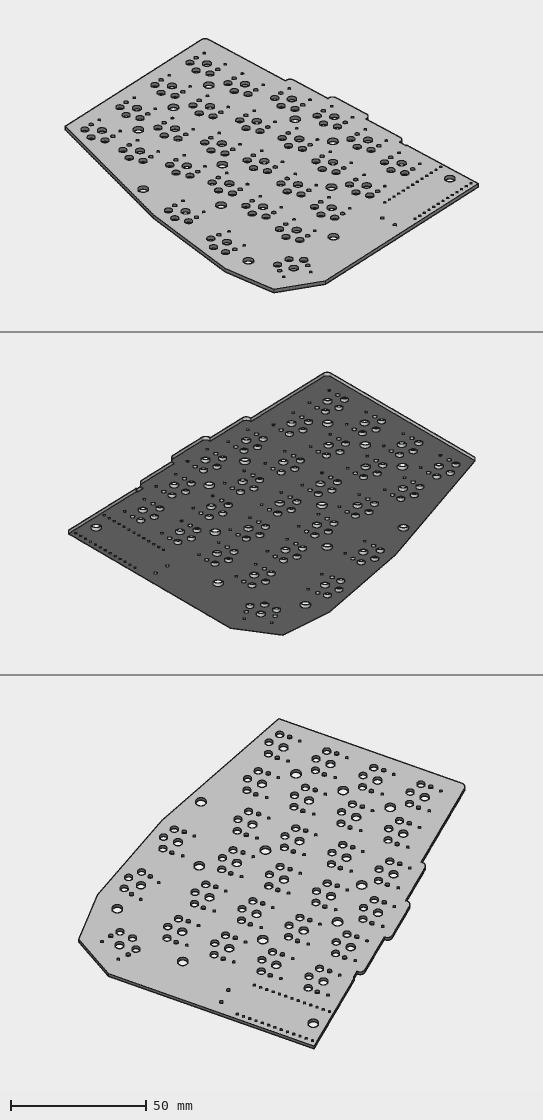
import math

import cadquery as cq


board_width = 136.8
board_height = 107.1
board_thickness = 1.6
corner_radius = 1.9

row_count = 4
column_count = 4.388
key_pitch = 69.8 / (column_count - 0.7313)
stagger = 4.8 / 2
first_column_x = 11.8
first_row_y = 33.4
column_steps = (0, 0, 2, 3, 2, 1)

middle_column_x = first_column_x + 3 * key_pitch
thumb_keys = (
    (middle_column_x, 16.7, 0),
    (93.4, 12.7, -15),
    (122.7, 17.4, -120),
)

stem_diameter = 3.4
peg_diameter = 1.6
peg_offset = 5.5
contact_diameter = 3.0
lower_contact_drop = 5.9
side_contact_offset = 5.0
side_contact_drop = 3.8
lead_diameter = 0.98
lead_offset = 5.2
lead_rise = 4.2

header_pin_count = 13
header_pin_diameter = 0.85
header_rows_x = (119.4, 134.5)
header_bottom_y = 70.5
header_pin_pitch = 30.5 / (header_pin_count - 1)

pair_diameter = 1.3
pair_y = 62.8
pair_xs = (125.4, 131.7)

mount_diameter = 4.0
mount_points = (
    (21.5, 81.1),
    (21.3, 62.0),
    (21.3, 42.8),
    (48.0, 16.4),
    (59.1, 47.6),
    (59.5, 86.8),
    (76.0, 28.5),
    (79.2, 86.0),
    (98.3, 64.4),
    (107.2, 9.5),
    (120.0, 41.8),
    (126.9, 97.9),
)

upper_edge_y = board_height - 2 * stagger
step_y = board_height - stagger
header_edge_x = 100.8
header_edge_y = 102.7
left_bottom_y = 26.1
palm_bend = (62.0, 7.0)
lowest_point = (104.2, 0.0)
thumb_corner = (126.4, 2.5)
right_bottom_y = 19.3


def column_gap_x(column):
    """X midway between a column and the next one."""
    return first_column_x + (column + 0.5) * key_pitch


def make_plate():
    rounded_corners = (
        (0, upper_edge_y),
        (column_gap_x(1), step_y),
        (column_gap_x(2), board_height),
        (column_gap_x(3), board_height),
        (column_gap_x(4), step_y),
    )
    outline = (
        (0, left_bottom_y),
        (0, upper_edge_y),
        (column_gap_x(1), upper_edge_y),
        (column_gap_x(1), step_y),
        (column_gap_x(2), step_y),
        (column_gap_x(2), board_height),
        (column_gap_x(3), board_height),
        (column_gap_x(3), step_y),
        (column_gap_x(4), step_y),
        (column_gap_x(4), upper_edge_y),
        (header_edge_x, upper_edge_y),
        (header_edge_x, header_edge_y),
        (board_width, header_edge_y),
        (board_width, right_bottom_y),
        thumb_corner,
        lowest_point,
        palm_bend,
    )
    plate = cq.Workplane("XY").polyline(outline).close().extrude(board_thickness)
    for x, y in rounded_corners:
        corner = cq.selectors.NearestToPointSelector((x, y, board_thickness / 2))
        plate = plate.edges("|Z").edges(corner).fillet(corner_radius)
    return plate


def key_positions():
    """Centre and rotation of every key: the staggered grid, then the thumb keys."""
    keys = []
    for column, steps in enumerate(column_steps):
        x = first_column_x + column * key_pitch
        for row in range(row_count):
            keys.append((x, first_row_y + steps * stagger + row * key_pitch, 0))
    keys.extend(thumb_keys)
    return keys


def place_on_keys(offsets):
    """Repeat a set of offsets around every key, turned with the key."""
    points = []
    for key_x, key_y, degrees in key_positions():
        cosine = math.cos(math.radians(degrees))
        sine = math.sin(math.radians(degrees))
        for dx, dy in offsets:
            points.append((key_x + dx * cosine - dy * sine, key_y + dx * sine + dy * cosine))
    return points


def drill(plate, points, diameter):
    """Cut round through holes at the given points."""
    pins = cq.Workplane("XY").pushPoints(points).circle(diameter / 2).extrude(board_thickness)
    return plate.cut(pins)


def drill_keys(plate):
    pegs = ((-peg_offset, 0), (peg_offset, 0))
    contacts = (
        (0, -lower_contact_drop),
        (-side_contact_offset, -side_contact_drop),
        (side_contact_offset, -side_contact_drop),
    )
    leads = ((-lead_offset, lead_rise), (lead_offset, lead_rise))
    plate = drill(plate, place_on_keys([(0, 0)]), stem_diameter)
    plate = drill(plate, place_on_keys(pegs), peg_diameter)
    plate = drill(plate, place_on_keys(contacts), contact_diameter)
    return drill(plate, place_on_keys(leads), lead_diameter)


def drill_header(plate):
    points = []
    for x in header_rows_x:
        for pin in range(header_pin_count):
            points.append((x, header_bottom_y + pin * header_pin_pitch))
    return drill(plate, points, header_pin_diameter)


result = make_plate()
result = drill_keys(result)
result = drill_header(result)
result = drill(result, [(x, pair_y) for x in pair_xs], pair_diameter)
result = drill(result, mount_points, mount_diameter)